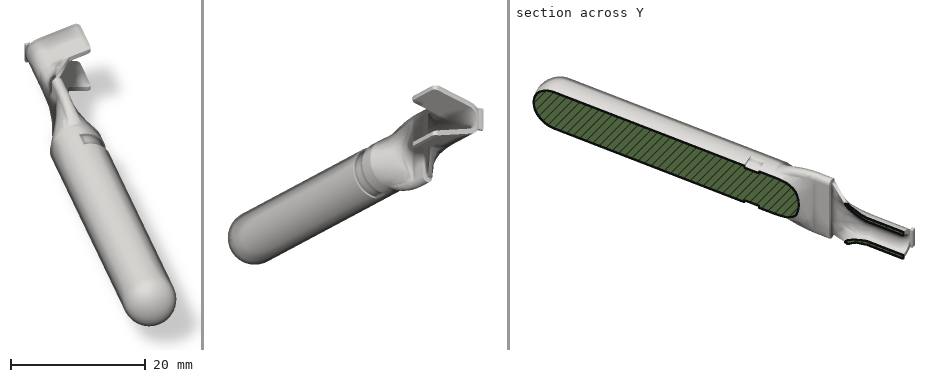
import cadquery as cq
import math

total_length = 64.8
pin_radius = 4.0
sheet = 0.8
floor_y = -0.85

wing_start = 0.45
wing_end = 6.85
neck_start = 13.85
neck_end = 16.45
pin_start = 23.25
dome_start = total_length - pin_radius

bend_radius = 2.6
wing_tilt = math.radians(14.2)
wing_top = 7.5
tip_length = 0.7
funnel_top = 3.95
tab_half_width = 1.7

neck_half_width = 5.75
neck_top = 0.8
neck_radius = (neck_top - floor_y) / 2
neck_flat = neck_half_width - neck_radius

shoulder_bulge = 0.4
crease_low = -1.05
crease_high = 1.1

groove_start = 25.45
groove_end = 27.9
groove_depth = 0.3
groove_edge = 0.2

inner_radius = bend_radius - sheet
bend_y = floor_y + bend_radius


def bend_point(radius, angle):
    """Point (y, z) of the U bend; the angle is measured from the floor centre."""
    return (bend_y - radius * math.cos(angle), radius * math.sin(angle))


def wing_point(radius, y):
    """Point (y, z) at height y on the straight wing face that follows the bend."""
    start_y, start_z = bend_point(radius, math.pi / 2 - wing_tilt)
    return (y, start_z + (y - start_y) * math.tan(wing_tilt))


def mirrored(point):
    return (point[0], -point[1])


def section(x):
    """Sketch plane across the part: local x is Y, local y is Z."""
    return cq.Workplane("YZ", origin=(x, 0, 0))


def u_profile(x, outer_tips, inner_tip):
    """Closed U outline; outer_tips lists the outer wing points above the bend."""
    tangent = math.pi / 2 - wing_tilt
    outer = bend_point(bend_radius, tangent)
    inner = bend_point(inner_radius, tangent)
    sketch = section(x).moveTo(*mirrored(outer))
    sketch = sketch.threePointArc((floor_y, 0), outer)
    for tip in outer_tips:
        sketch = sketch.lineTo(*tip)
    sketch = sketch.lineTo(*inner_tip).lineTo(*inner)
    sketch = sketch.threePointArc((floor_y + sheet, 0), mirrored(inner))
    sketch = sketch.lineTo(*mirrored(inner_tip))
    for tip in reversed(outer_tips):
        sketch = sketch.lineTo(*mirrored(tip))
    return sketch.close()


def make_wings():
    """U-shaped crimp wings with levelled tips and rounded corners."""
    tip_start = wing_point(bend_radius, wing_top - tip_length)
    tip_end = (wing_top, tip_start[1])
    inner_tip = wing_point(inner_radius, wing_top)
    length = wing_end - wing_start
    wings = u_profile(wing_start, [tip_start, tip_end], inner_tip).extrude(length)
    outline = (
        cq.Workplane("XY")
        .center((wing_start + wing_end) / 2, (floor_y + wing_top) / 2)
        .rect(length, wing_top - floor_y)
        .extrude(neck_half_width, both=True)
        .edges("|Z and >Y")
        .fillet(tip_length)
    )
    return wings.intersect(outline)


def make_tab():
    """Flat tab where the floor runs on ahead of the wings."""
    return (
        section(0)
        .center(floor_y + sheet / 2, 0)
        .rect(sheet, 2 * tab_half_width)
        .extrude(wing_start)
    )


def make_funnel():
    """Sheet opening out from the U bend to the flat neck floor."""
    tip = wing_point(bend_radius, funnel_top)
    inner_tip = wing_point(inner_radius, funnel_top)
    u_wire = u_profile(wing_end, [tip], inner_tip).val()
    top_y = floor_y + sheet
    flat_bend = bend_radius * math.cos(wing_tilt)
    flat_wire = (
        section(neck_start)
        .moveTo(floor_y, -flat_bend)
        .lineTo(floor_y, flat_bend)
        .lineTo(floor_y, neck_flat)
        .lineTo(top_y, neck_flat)
        .lineTo(top_y, flat_bend)
        .lineTo(top_y, -flat_bend)
        .lineTo(top_y, -neck_flat)
        .lineTo(floor_y, -neck_flat)
        .close()
        .val()
    )
    return cq.Workplane(cq.Solid.makeLoft([u_wire, flat_wire], True))


def on_pin(y):
    """Point (y, z) on the pin circle at height y."""
    return (y, math.sqrt(pin_radius**2 - y**2))


def neck_outline():
    """Half outline of the neck: floor centre, crease, side, crease, top centre."""
    return [
        (floor_y, 0),
        (floor_y, neck_flat),
        ((floor_y + neck_top) / 2, neck_half_width),
        (neck_top, neck_flat),
        (neck_top, 0),
    ]


def pin_outline():
    """Half outline of the pin with points matching those of the neck."""
    side = (crease_low + crease_high) / 2
    return [
        (-pin_radius, 0),
        on_pin(crease_low),
        on_pin(side),
        on_pin(crease_high),
        (pin_radius, 0),
    ]


def middle_outline():
    """Half outline halfway along the shoulder: the average, with its side bulging."""
    outline = []
    for (neck_y, neck_z), (pin_y, pin_z) in zip(neck_outline(), pin_outline()):
        outline.append(((neck_y + pin_y) / 2, (neck_z + pin_z) / 2))
    floor_centre, low, (side_y, side_z), high, top_centre = outline
    return [floor_centre, low, (side_y, side_z + shoulder_bulge), high, top_centre]


def draw_floor_or_top(sketch, centre, end):
    """Continue the sketch to end, straight if centre is level with it, else as an arc."""
    if centre[0] == end[0]:
        return sketch.lineTo(*end)
    return sketch.threePointArc(centre, end)


def outline_wire(x, half_outline):
    """Closed wire across the part from a half outline running floor to top."""
    floor_centre, low, side, high, top_centre = half_outline
    sketch = section(x).moveTo(*mirrored(low))
    sketch = draw_floor_or_top(sketch, floor_centre, low)
    sketch = sketch.threePointArc(side, high)
    sketch = draw_floor_or_top(sketch, top_centre, mirrored(high))
    sketch = sketch.threePointArc(mirrored(side), mirrored(low))
    return sketch.close().val()


def make_neck():
    """Flat bar with half-round sides."""
    wire = outline_wire(neck_start, neck_outline())
    along_neck = cq.Vector(neck_end - neck_start, 0, 0)
    return cq.Workplane(cq.Solid.extrudeLinear(wire, [], along_neck))


def make_shoulder():
    """Solid shoulder swelling from the flat neck to the round pin."""
    wires = [
        outline_wire(neck_end, neck_outline()),
        outline_wire((neck_end + pin_start) / 2, middle_outline()),
        outline_wire(pin_start, pin_outline()),
    ]
    return cq.Workplane(cq.Solid.makeLoft(wires))


def make_pin():
    """Round pin with a domed end and a shallow groove around its +Y half."""
    pin = section(pin_start).circle(pin_radius).extrude(dome_start - pin_start)
    dome = cq.Workplane("XY").sphere(pin_radius).translate((dome_start, 0, 0))
    floor_radius = pin_radius - groove_depth
    floor_side = (groove_edge, math.sqrt(floor_radius**2 - groove_edge**2))
    pin_side = on_pin(-groove_edge)
    groove = (
        section(groove_start)
        .moveTo(*mirrored(floor_side))
        .threePointArc((floor_radius, 0), floor_side)
        .lineTo(*pin_side)
        .threePointArc((pin_radius, 0), mirrored(pin_side))
        .close()
        .extrude(groove_end - groove_start)
    )
    return pin.union(dome).cut(groove)


result = (
    make_pin()
    .union(make_shoulder())
    .union(make_neck())
    .union(make_funnel())
    .union(make_wings())
    .union(make_tab())
)